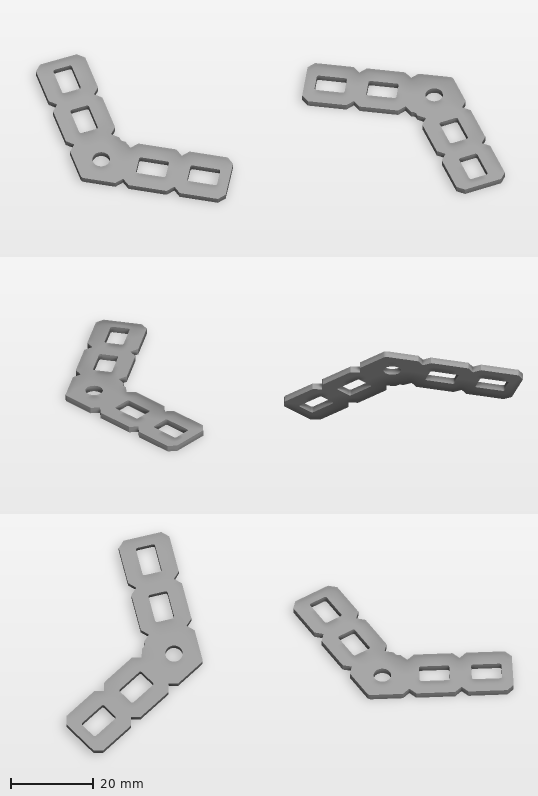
import cadquery as cq
import math

overall_length = 52.3
thickness = 1.55
bend_angle = 60.0
cells_per_arm = 2
cell_chamfer = 1.6
window_length = 7.4
window_width = 4.75
window_radius = 0.45
hub_hole_diameter = 4.25
bend_radius = 1.05

bend = math.radians(bend_angle)
arm_pitches = cells_per_arm + 0.5
pitches_along_x = arm_pitches * (1 + math.cos(bend)) + math.sin(bend) / 2
cell_size = (overall_length + cell_chamfer * math.cos(bend)) / pitches_along_x

half_cell = cell_size / 2
bisector = (math.pi + bend) / 2
corner_distance = half_cell / math.sin(bisector)
inner_corner = (corner_distance * math.cos(bisector), corner_distance * math.sin(bisector))
outer_corner = (-inner_corner[0], -inner_corner[1])


def make_cell(distance):
    """Square cell with chamfered corners, centred on +X at a distance from the hub."""
    return (
        cq.Workplane("XY")
        .center(distance, 0)
        .rect(cell_size, cell_size)
        .extrude(thickness)
        .edges("|Z")
        .chamfer(cell_chamfer)
    )


def make_window(distance):
    """Rounded rectangular opening of one cell."""
    return (
        cq.Workplane("XY")
        .center(distance, 0)
        .rect(window_length, window_width)
        .extrude(thickness)
        .edges("|Z")
        .fillet(window_radius)
    )


def make_arm(direction):
    """Row of windowed cells pointing outward from the hub."""
    cells = [make_cell(i * cell_size) for i in range(1, cells_per_arm + 1)]
    windows = [make_window(i * cell_size) for i in range(1, cells_per_arm + 1)]
    arm = cells[0]
    for cell in cells[1:]:
        arm = arm.union(cell)
    for window in windows:
        arm = arm.cut(window)
    return arm.rotate((0, 0, 0), (0, 0, 1), direction)


def make_hub():
    """Bent cell joining the arms, chamfered where it meets each one."""
    end = half_cell
    shoulder = half_cell - cell_chamfer
    flat_side = [
        (-shoulder, half_cell),
        (-end, shoulder),
        (-end, -shoulder),
        (-shoulder, -half_cell),
    ]
    raised_side = [
        (
            -x * math.cos(bend) - y * math.sin(bend),
            -x * math.sin(bend) + y * math.cos(bend),
        )
        for x, y in reversed(flat_side)
    ]
    outline = flat_side + [outer_corner] + raised_side + [inner_corner]
    hub = cq.Workplane("XY").polyline(outline).close().extrude(thickness)
    for x, y in (inner_corner, outer_corner):
        corner_edge = cq.selectors.NearestToPointSelector((x, y, thickness / 2))
        hub = hub.edges(corner_edge).fillet(bend_radius)
    return hub


hub_hole = cq.Workplane("XY").circle(hub_hole_diameter / 2).extrude(thickness)

result = make_hub().union(make_arm(180)).union(make_arm(bend_angle)).cut(hub_hole).clean()